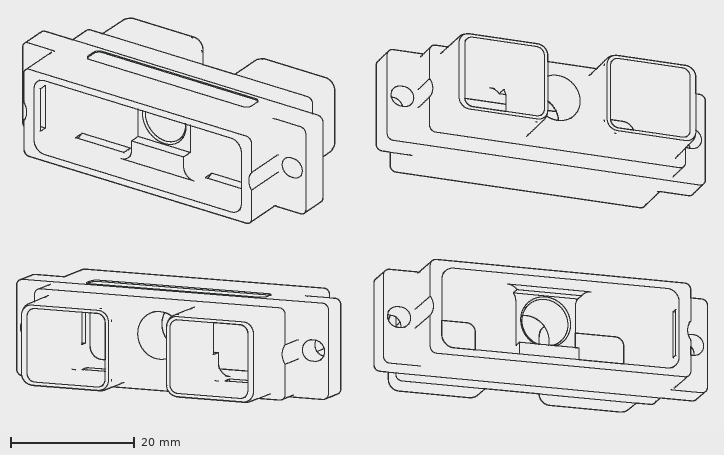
import cadquery as cq
import math

flange_width = 55.4
body_height = 15.9
flange_front = 7.7
flange_back = 12.7
edge_radius = 1.05

housing_width = 44.5
housing_back = 17.7
rear_housing_height = 15.25

mount_x = 25.05
mount_hole_height = 3.5
mount_hole_length = 3.95
relief_x = 24.3
relief_radius = 2.6

tube_inner_x = 4.95
tube_outer_x = 21.0
tube_outer_draft = 0.15
tube_height = 13.6
tube_back = 26.65
tube_radius = 2.05
tube_rim_length = 0.7
tube_rim_step = 0.2

step_fillet = 0.15

edge_margin = 0.05

socket_width = 40.55
socket_height = 13.45
socket_radius = 2.05
bore_inner_x = 5.1
bore_width = socket_width / 2 - bore_inner_x
bore_center_x = bore_inner_x + bore_width / 2
divider_front = 5.75
throat_start = 10.35
throat_end = 11.8
throat_inset = 0.3
bore_inset = 0.65

port_z = 1.5
port_radius = 3.95
port_chamfer = 0.35
notch_height = 8.85
notch_back = flange_front

side_slot_front = 1.95
side_slot_back = 3.25
side_slot_height = 7.75
side_slot_depth = 1.0
floor_ramp_front = 7.8
floor_ramp_back = 9.7
floor_ramp_depth = 0.65
floor_ramp_width = 9.4

label_width = 31.9
label_front = 8.35
label_back = 11.9
label_radius = 1.0
label_depth = 0.2


def section(y, width, height, center_x=0, center_z=0):
    """Rectangle sketch in the XZ plane at depth y, ready to extrude towards +Y."""
    plane = cq.Plane(origin=(center_x, y, center_z), xDir=(1, 0, 0), normal=(0, -1, 0))
    return cq.Workplane(plane).rect(width, height)


def rounded_bar(y_start, y_end, width, height, radius, center_x=0):
    """Bar along Y with its four long edges rounded."""
    bar = section(y_start, width, height, center_x).extrude(y_start - y_end)
    return bar.edges("|Y").fillet(radius)


def cylinder(x, z, radius, y_start, y_end):
    start = cq.Vector(x, y_start, z)
    return cq.Workplane(cq.Solid.makeCylinder(radius, y_end - y_start, start, cq.Vector(0, 1, 0)))


def both_sides(shape):
    return shape.union(shape.mirror("YZ"))


def edges_at(y, half_width, half_height):
    """Selector for edges at depth y that lie inside a centered window."""
    return cq.selectors.BoxSelector(
        (-half_width - edge_margin, y - edge_margin, -half_height - edge_margin),
        (half_width + edge_margin, y + edge_margin, half_height + edge_margin),
    )


def make_body():
    front = rounded_bar(0, flange_back, housing_width, body_height, edge_radius)
    rear = rounded_bar(flange_front, housing_back, housing_width, rear_housing_height, edge_radius)
    relief = cylinder(relief_x, 0, relief_radius, 0, housing_back)
    tall_flange = section(flange_front, flange_width, 2 * body_height).extrude(flange_front - flange_back)
    body = front.union(rear).cut(both_sides(relief)).union(tall_flange)
    for y in (flange_front, flange_back):
        body = body.edges(edges_at(y, housing_width / 2, body_height / 2)).fillet(step_fillet)
    return body.intersect(rounded_bar(0, housing_back, flange_width, body_height, edge_radius))


def add_tubes(body):
    joined = body.union(both_sides(make_tube()))
    tube_roots = edges_at(housing_back, tube_outer_x, tube_height / 2)
    return joined.edges(tube_roots).fillet(step_fillet)


def make_tube():
    tube = (
        cq.Workplane("XY", origin=(0, 0, -tube_height / 2))
        .polyline(
            [
                (tube_inner_x, housing_back),
                (tube_outer_x, housing_back),
                (tube_outer_x - tube_outer_draft, tube_back),
                (tube_inner_x, tube_back),
            ]
        )
        .close()
        .extrude(tube_height)
    )
    tube = tube.edges("not(|X or |Z)").fillet(tube_radius)
    return tube.faces(">Y").edges().chamfer(tube_rim_length, tube_rim_step)


def narrowing_bore(y_start, y_end, start_inset, end_inset):
    """Stretch of a bore whose walls close in from one inset to the other."""
    length = y_end - y_start
    width = bore_width - 2 * start_inset
    height = socket_height - 2 * start_inset
    outline = cq.Sketch().rect(width, height).vertices().fillet(socket_radius - start_inset)
    draft_angle = math.degrees(math.atan((end_inset - start_inset) / length))
    plane = cq.Plane(origin=(bore_center_x, y_start, 0), xDir=(1, 0, 0), normal=(0, 1, 0))
    return cq.Workplane(plane).placeSketch(outline).extrude(length, taper=draft_angle)


def make_bore():
    straight = rounded_bar(0, throat_start, bore_width, socket_height, socket_radius, bore_center_x)
    throat = narrowing_bore(throat_start, throat_end, 0, throat_inset)
    tube_bore = narrowing_bore(throat_end, tube_back, throat_inset, bore_inset)
    return straight.union(throat).union(tube_bore)


def make_port():
    through = cylinder(0, port_z, port_radius, 0, housing_back)
    countersink = cq.Workplane(
        cq.Solid.makeCone(
            port_radius + port_chamfer,
            port_radius,
            port_chamfer,
            cq.Vector(0, notch_back, port_z),
            cq.Vector(0, 1, 0),
        )
    )
    notch = section(0, 2 * bore_center_x, notch_height, 0, port_z).extrude(-notch_back)
    return through.union(countersink).union(notch)


def make_mount_hole():
    plane = cq.Plane(origin=(mount_x, flange_front, 0), xDir=(1, 0, 0), normal=(0, -1, 0))
    slot = cq.Workplane(plane).slot2D(mount_hole_length, mount_hole_height)
    return slot.extrude(flange_front - flange_back)


def make_side_slot():
    reach = socket_width / 2 + side_slot_depth
    slot = section(side_slot_front, reach, side_slot_height, reach / 2)
    return slot.extrude(side_slot_front - side_slot_back)


def make_floor_ramp():
    floor_z = -socket_height / 2
    start_x = bore_center_x - floor_ramp_width / 2
    profile = cq.Workplane("YZ", origin=(start_x, 0, 0)).polyline(
        [
            (floor_ramp_front, floor_z),
            (floor_ramp_front, floor_z - floor_ramp_depth),
            (floor_ramp_back, floor_z),
        ]
    )
    return profile.close().extrude(floor_ramp_width)


def make_label_recess():
    center_y = (label_front + label_back) / 2
    recess = (
        cq.Workplane("XY", origin=(0, center_y, body_height / 2 - label_depth))
        .rect(label_width, label_back - label_front)
        .extrude(label_depth)
    )
    return recess.edges("|Z").fillet(label_radius)


socket = rounded_bar(0, divider_front, socket_width, socket_height, socket_radius)

result = (
    add_tubes(make_body())
    .cut(socket)
    .cut(both_sides(make_bore()))
    .cut(make_port())
    .cut(both_sides(make_mount_hole()))
    .cut(both_sides(make_side_slot()))
    .cut(both_sides(make_floor_ramp()))
    .cut(make_label_recess())
)